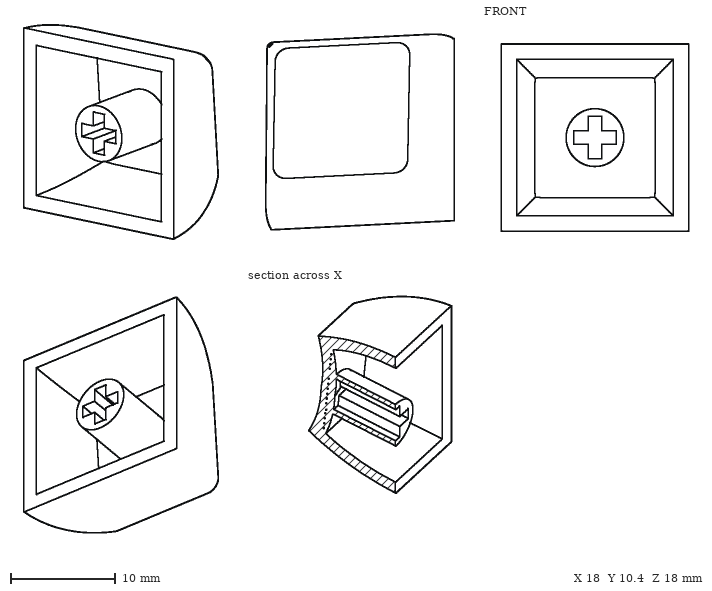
import cadquery as cq
import math


base_side = 18.0
base_corner = 0.1
shoulder_height = 3.6
shoulder_side = 17.37
shoulder_corner = 0.58
top_height = 9.85
top_side = 13.2
top_corner = 1.3
top_tilt = 5.0

dish_depth = 0.9
dish_ring_depth = 0.8
dish_ring_side = top_side / 2
dish_ring_corner = 0.87

wall = 1.5
roof_thickness = 1.7
cavity_top_side = 11.3

stem_diameter = 5.55
cross_length = 4.08
cross_width = 1.31

base_centre = cq.Vector(0, 0, 0)
shoulder_centre = cq.Vector(0, shoulder_height, 0)
shoulder_tilt = top_tilt * shoulder_height / top_height
top_centre = cq.Vector(0, top_height, 0)


def normal_at(tilt):
    """Unit vector along +Y, leaned towards +Z by the tilt in degrees."""
    lean = math.radians(tilt)
    return cq.Vector(0, math.cos(lean), math.sin(lean))


def square(centre, tilt, side, corner=0.0):
    """Closed square wire on a tilted plane, rounded when a corner radius is given."""
    plane = cq.Plane(origin=centre, xDir=(1, 0, 0), normal=normal_at(tilt))
    wire = cq.Workplane(plane).rect(side, side).val()
    if corner > 0:
        wire = wire.fillet2D(corner, wire.Vertices())
    return wire


def below_rim(depth):
    """Point under the centre of the rim, measured square to the tilted top."""
    return top_centre - normal_at(top_tilt) * depth


def top_rim():
    return square(top_centre, top_tilt, top_side, top_corner)


def make_body():
    """Solid cap whose corners grow rounder towards the tilted top."""
    sections = [
        square(base_centre, 0, base_side, base_corner),
        square(shoulder_centre, shoulder_tilt, shoulder_side, shoulder_corner),
        top_rim(),
    ]
    return cq.Workplane(obj=cq.Solid.makeLoft(sections))


def make_dish():
    """Bowl running from the rounded rim down to a single lowest point."""
    ring = square(below_rim(dish_ring_depth), top_tilt, dish_ring_side, dish_ring_corner)
    lowest = cq.Vertex.makeVertex(*below_rim(dish_depth).toTuple())
    return cq.Workplane(obj=cq.occ_impl.shapes.loft(top_rim(), ring, lowest, cap=True))


def make_cavity(dish):
    """Sharp-cornered tapered cavity, its ceiling shaped like the dish."""
    ceiling_centre = top_centre - cq.Vector(0, roof_thickness, 0)
    sections = [
        square(base_centre, 0, base_side - 2 * wall),
        square(shoulder_centre, shoulder_tilt, shoulder_side - 2 * wall),
        square(ceiling_centre, top_tilt, cavity_top_side),
    ]
    cavity = cq.Workplane(obj=cq.Solid.makeLoft(sections))
    return cavity.cut(dish.translate(normal_at(top_tilt) * -roof_thickness))


def make_stem():
    """Round stem with a cross socket, long enough to pass the ceiling."""
    mouth = cq.Workplane("XZ")
    stem = mouth.circle(stem_diameter / 2).extrude(-top_height)
    for width, length in [(cross_length, cross_width), (cross_width, cross_length)]:
        stem = stem.cut(mouth.rect(width, length).extrude(-top_height))
    return stem


dish = make_dish()
hollow = make_cavity(dish).cut(make_stem())
result = make_body().cut(dish).cut(hollow).solids()